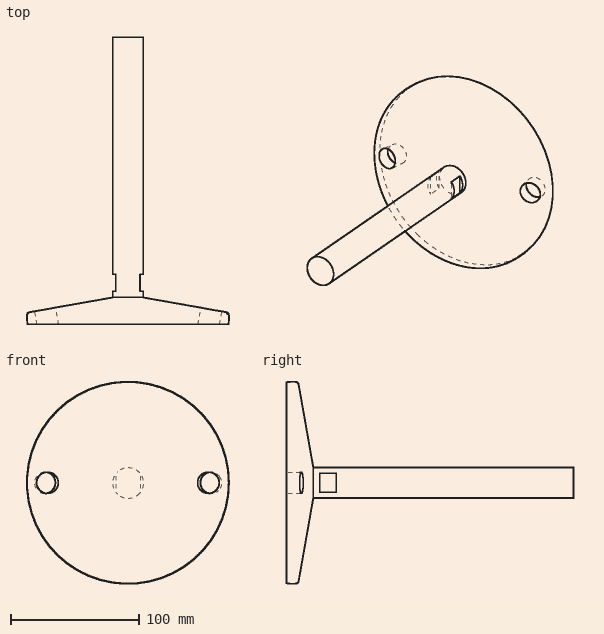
import cadquery as cq
import math

total_length = 224.0
foot_diameter = 158.0
stud_diameter = 24.0

sole_diameter = 157.0
widest_height = 4.3
rim_diameter = 157.5
rim_fillet = 2.7
cone_top_height = 21.0
cone_angle = math.radians(10)

flats_start = 26.0
flats_length = 13.0
across_flats = 19.0

hole_diameter = 16.5
hole_offset = 62.7
drill_length = 89.5

stud_radius = stud_diameter / 2
rim_radius = rim_diameter / 2
rim_height = cone_top_height - (rim_radius - stud_radius) * math.tan(cone_angle)


def make_body():
    """Revolve the foot and stud about the Y axis, then round the rim into the cone."""
    body = (
        cq.Workplane("XY")
        .lineTo(sole_diameter / 2, 0)
        .lineTo(foot_diameter / 2, widest_height)
        .lineTo(rim_radius, rim_height)
        .lineTo(stud_radius, cone_top_height)
        .lineTo(stud_radius, total_length)
        .lineTo(0, total_length)
        .close()
        .revolve(360, (0, 0, 0), (0, 1, 0))
    )
    rim_edge = cq.selectors.NearestToPointSelector((0, rim_height, 0))
    return body.edges(rim_edge).fillet(rim_fillet)


def make_flat_cutter(side):
    """Block that mills one wrench flat on the given X side."""
    center_x = side * (across_flats + stud_diameter) / 2
    center_y = flats_start + flats_length / 2
    return (
        cq.Workplane("XY")
        .box(stud_diameter, flats_length, stud_diameter)
        .translate((center_x, center_y, 0))
    )


def make_hole_cutter(side):
    """Drill leaning outward so that it is normal to the cone."""
    axis = cq.Vector(side * math.sin(cone_angle), math.cos(cone_angle), 0)
    sole_center = cq.Vector(side * hole_offset, 0, 0)
    start = sole_center - axis * (drill_length / 2)
    drill = cq.Solid.makeCylinder(hole_diameter / 2, drill_length, start, axis)
    return cq.Workplane(drill)


result = make_body()
for side in (-1, 1):
    result = result.cut(make_flat_cutter(side))
    result = result.cut(make_hole_cutter(side))